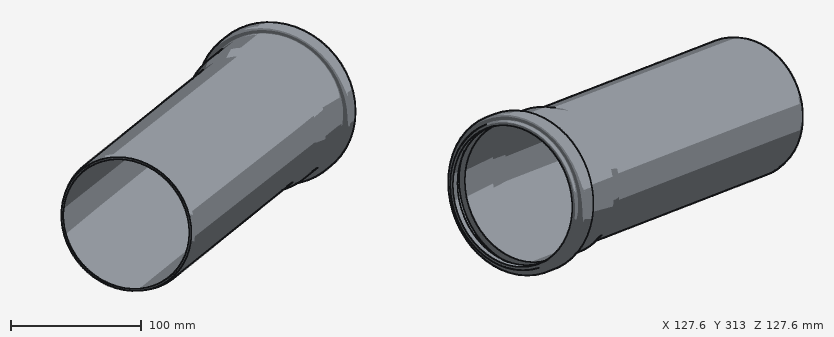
import cadquery as cq
import math

length = 313.0

pipe_diameter = 110.3
bore_diameter = 104.3
spigot_chamfer_length = 4.5
taper_angle = math.radians(15)

socket_wall = 2.9
sleeve_inner_diameter = 111.0
cone_start_y = 248.5

bead_diameter = 127.6
groove_width = 9.7
lip_length = 3.3
lip_inner_diameter = 111.3
lip_edge_radius = 1.0
neck_fillet = 1.0

pipe_radius = pipe_diameter / 2
bore_radius = bore_diameter / 2
spigot_tip_radius = pipe_radius - spigot_chamfer_length * math.tan(taper_angle)
sleeve_inner_radius = sleeve_inner_diameter / 2
sleeve_radius = sleeve_inner_radius + socket_wall
bead_radius = bead_diameter / 2
groove_radius = bead_radius - socket_wall
lip_inner_radius = lip_inner_diameter / 2
lip_radius = lip_inner_radius + socket_wall

cone_end_y = cone_start_y + (sleeve_radius - pipe_radius) / math.tan(taper_angle)
bead_top_y = length - lip_length
groove_top_y = bead_top_y - socket_wall
groove_bottom_y = groove_top_y - groove_width
bead_bottom_y = groove_bottom_y - socket_wall

ARC_MID = math.sqrt(0.5)


def quarter_arc(path, centre, radius, side_r, side_y, end):
    """Add a quarter arc to path; side_r and side_y (+1 or -1) pick the quadrant about the centre."""
    centre_r, centre_y = centre
    offset = radius * ARC_MID
    midpoint = (centre_r + side_r * offset, centre_y + side_y * offset)
    return path.threePointArc(midpoint, end)


def outer_body():
    """Solid of the outside shape, from the spigot tip to the socket mouth."""
    lower_neck_radius = sleeve_radius + neck_fillet
    lower_neck_y = bead_bottom_y - neck_fillet
    upper_neck_radius = lip_radius + neck_fillet
    upper_neck_y = bead_top_y + neck_fillet
    lip_edge_centre_radius = lip_radius - lip_edge_radius
    lip_edge_y = length - lip_edge_radius

    path = (
        cq.Workplane("XY")
        .moveTo(0, 0)
        .lineTo(spigot_tip_radius, 0)
        .lineTo(pipe_radius, spigot_chamfer_length)
        .lineTo(pipe_radius, cone_start_y)
        .lineTo(sleeve_radius, cone_end_y)
        .lineTo(sleeve_radius, lower_neck_y)
    )

    path = quarter_arc(
        path, (lower_neck_radius, lower_neck_y), neck_fillet, -1, 1, (lower_neck_radius, bead_bottom_y)
    )
    path = path.lineTo(groove_radius, bead_bottom_y)
    path = quarter_arc(
        path, (groove_radius, groove_bottom_y), socket_wall, 1, -1, (bead_radius, groove_bottom_y)
    )
    path = path.lineTo(bead_radius, groove_top_y)
    path = quarter_arc(
        path, (groove_radius, groove_top_y), socket_wall, 1, 1, (groove_radius, bead_top_y)
    )
    path = path.lineTo(upper_neck_radius, bead_top_y)
    path = quarter_arc(
        path, (upper_neck_radius, upper_neck_y), neck_fillet, -1, -1, (lip_radius, upper_neck_y)
    )

    path = path.lineTo(lip_radius, lip_edge_y)
    path = quarter_arc(
        path, (lip_edge_centre_radius, lip_edge_y), lip_edge_radius, 1, 1, (lip_edge_centre_radius, length)
    )
    return path.lineTo(0, length).close().revolve(360, (0, 0, 0), (0, 1, 0))


def cavity():
    """Solid of the cavity: pipe bore, cone, sleeve, seal groove and mouth."""
    return (
        cq.Workplane("XY")
        .moveTo(0, 0)
        .lineTo(bore_radius, 0)
        .lineTo(bore_radius, cone_start_y)
        .lineTo(sleeve_inner_radius, cone_end_y)
        .lineTo(sleeve_inner_radius, groove_bottom_y)
        .lineTo(groove_radius, groove_bottom_y)
        .lineTo(groove_radius, groove_top_y)
        .lineTo(lip_inner_radius, groove_top_y)
        .lineTo(lip_inner_radius, length)
        .lineTo(0, length)
        .close()
        .revolve(360, (0, 0, 0), (0, 1, 0))
    )


result = outer_body().cut(cavity())